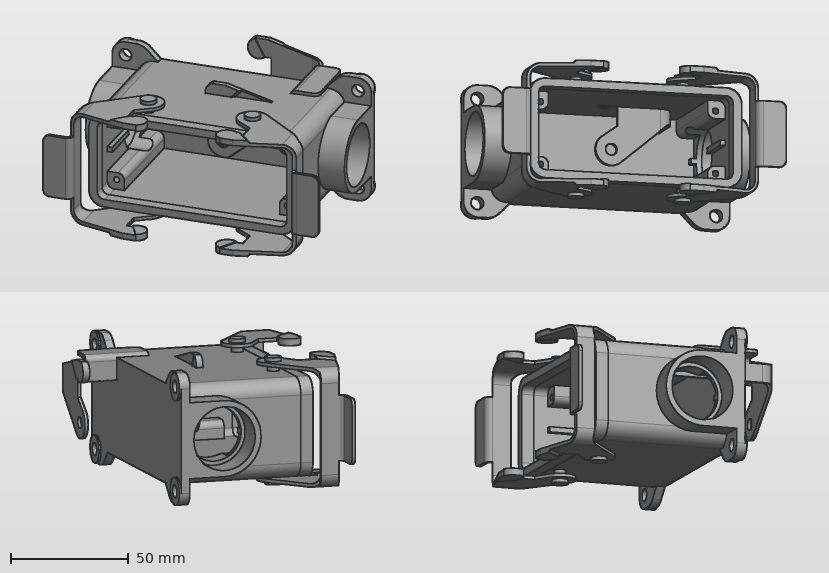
import cadquery as cq
import math


shell_width = 93.7
shell_height = 43.0
shell_length = 63.2
side_wall = 3.9
flat_wall = 3.5
rear_wall = 3.9
shell_corner_radius = 6.9
cavity_corner_radius = 3.1
rim_length = 5.5

boss_span = 117.6
boss_radius = 16.4
bore_diameter = 27.5
entry_diameter = 24.0
entry_setback = 19.4
bore_floor_depth = 13.4

lug_tip_height = 28.5
lug_thickness = 3.9
lug_corner_radius = 6.0
lug_shoulder_x = 48.4
lug_shoulder_radius = 8.1
lug_hole_diameter = 5.5
foot_height = 0.9

post_size = 7.8
post_corner_radius = 3.1
post_front_y = -51.3
post_hole_diameter = 2.5
post_hole_depth = 10.0
post_hole_inset_x = 4.3
post_hole_inset_z = 4.5
rib_size = 2.3

pivot_x = 23.6
pivot_y = -53.2
pin_diameter = 5.0
pin_head_diameter = 7.0
pin_head_height = 1.6

sheet = 1.5
lever_half_height = 25.8
lever_bend_radius = 6.0
lever_web_x = 27.5
web_top_y = -12.3
web_bottom_y = -20.3
pivot_eye_radius = 6.9
outer_edge_angle = math.radians(39.5)
inner_edge_angle = math.radians(35.0)
throat_x = 2.8
throat_y = -18.8
hook_x = -3.0
hook_y = -22.5
hook_radius = 4.8
hook_bottom_y = -27.0
hook_flat_end_x = 1.4
hook_outer_rise = 1.1
hook_inner_rise = 0.4
ramp_length = 1.1
ramp_foot_x = 8.3
ramp_foot_y = -24.9

tab_reach = 38.9
tab_width = 28.3
tab_bend_radius = 1.3
tab_corner_radius = 3.0
tab_top_y = -22.1

spare_y = -0.3
spare_z = -0.5

cavity_width = shell_width - 2 * side_wall
cavity_height = shell_height - 2 * flat_wall
body_length = shell_length - rim_length
half_span = boss_span / 2
lug_hole_x = half_span - lug_corner_radius
lug_hole_z = lug_tip_height - lug_corner_radius
lever_inner_half_height = lever_half_height - sheet

hook_chord_x = hook_x - math.sqrt(hook_radius**2 - (hook_y - hook_bottom_y) ** 2)
hook_neck_x = hook_x + math.sqrt(hook_radius**2 - (throat_y - hook_y) ** 2)
hook_tip = (hook_x - hook_radius, hook_y)


def shell_block(width, height, corner_radius, start_y, length):
    """Block of rounded rectangular section running from start_y toward -Y."""
    return (
        cq.Workplane("XZ", origin=(0, start_y, 0))
        .rect(width, height)
        .extrude(length)
        .edges("|Y")
        .fillet(corner_radius)
    )


def box_between(x_range, y_range, z_range):
    """Box given by its limits along each axis."""
    sizes = [high - low for low, high in (x_range, y_range, z_range)]
    return cq.Workplane("XY", origin=(x_range[0], y_range[0], z_range[0])).box(*sizes, centered=False)


def mirrored_in_four(solid):
    """A solid joined with its mirror images in X and Z."""
    pair = solid.union(solid.mirror("YZ"))
    return pair.union(pair.mirror("XY"))


def cable_bosses():
    """Round-nosed boss that reaches through both sides and back to the rear face."""
    nose = (
        cq.Workplane("YZ", origin=(-half_span, -entry_setback, 0))
        .circle(boss_radius)
        .extrude(boss_span)
    )
    block = box_between((-half_span, half_span), (-entry_setback, 0), (-boss_radius, boss_radius))
    return nose.union(block)


def cable_bores():
    """Through entry hole with a wider bore from each end."""
    section = cq.Workplane("YZ", origin=(-half_span, -entry_setback, 0))
    entry = section.circle(entry_diameter / 2).extrude(boss_span)
    bore = section.circle(bore_diameter / 2).extrude(bore_floor_depth)
    return entry.union(bore).union(bore.mirror("YZ"))


def mounting_lug():
    """Upper +X lug with its raised round foot and screw hole."""
    shoulder_drop = lug_shoulder_radius * (1 - math.sqrt(0.5))
    shoulder_end_x = lug_shoulder_x - lug_shoulder_radius * math.sqrt(0.5)
    shoulder_end_z = lug_tip_height - shoulder_drop
    slope_run = shoulder_end_z - cavity_height / 2
    lug = (
        cq.Workplane("XZ")
        .moveTo(half_span, 0)
        .lineTo(half_span, lug_hole_z)
        .radiusArc((lug_hole_x, lug_tip_height), -lug_corner_radius)
        .lineTo(lug_shoulder_x, lug_tip_height)
        .radiusArc((shoulder_end_x, shoulder_end_z), -lug_shoulder_radius)
        .lineTo(shoulder_end_x - slope_run, cavity_height / 2)
        .lineTo(shoulder_end_x - slope_run, 0)
        .close()
        .extrude(lug_thickness)
    )
    foot = (
        cq.Workplane("XZ", origin=(lug_hole_x, foot_height, lug_hole_z))
        .circle(lug_corner_radius)
        .extrude(lug_thickness + foot_height)
    )
    hole = (
        cq.Workplane("XZ", origin=(lug_hole_x, foot_height, lug_hole_z))
        .circle(lug_hole_diameter / 2)
        .extrude(lug_thickness + foot_height)
    )
    return lug.union(foot).cut(hole)


def screw_post():
    """Upper +X post in the cavity corner with a blind screw hole in its front end."""
    wall_x = cavity_width / 2
    wall_z = cavity_height / 2
    post = box_between(
        (wall_x - post_size, wall_x),
        (post_front_y, -rear_wall / 2),
        (wall_z - post_size, wall_z),
    )
    post = post.edges("|Y and <X and <Z").fillet(post_corner_radius)
    hole = (
        cq.Workplane("XZ", origin=(wall_x - post_hole_inset_x, post_front_y, wall_z - post_hole_inset_z))
        .circle(post_hole_diameter / 2)
        .extrude(-post_hole_depth)
    )
    return post.cut(hole)


def key_rib():
    """Square rib along the middle of the +X cavity wall."""
    return box_between(
        (cavity_width / 2 - rib_size, shell_width / 2 - side_wall / 2),
        (post_front_y, -rear_wall / 2),
        (-rib_size / 2, rib_size / 2),
    )


def pivot_pin():
    """Upper +X pivot pin whose head holds the lever."""
    root_z = shell_height / 2 - flat_wall / 2
    shank = (
        cq.Workplane("XY", origin=(pivot_x, pivot_y, root_z))
        .circle(pin_diameter / 2)
        .extrude(lever_half_height - root_z)
    )
    head = (
        cq.Workplane("XY", origin=(pivot_x, pivot_y, lever_half_height))
        .circle(pin_head_diameter / 2)
        .extrude(pin_head_height)
    )
    return shank.union(head)


def make_housing():
    shell = shell_block(shell_width, shell_height, shell_corner_radius, 0, body_length)
    cavity = shell_block(
        cavity_width, cavity_height, cavity_corner_radius, -rear_wall, body_length - rear_wall
    )
    rib = key_rib()
    return (
        shell.union(cable_bosses())
        .union(mirrored_in_four(mounting_lug()))
        .cut(cavity)
        .union(mirrored_in_four(screw_post()))
        .union(rib)
        .union(rib.mirror("YZ"))
        .cut(cable_bores())
        .union(mirrored_in_four(pivot_pin()))
    )


def make_rim():
    """Frame that continues the shell walls at the open front."""
    frame = shell_block(shell_width, shell_height, shell_corner_radius, -body_length, rim_length)
    opening = shell_block(cavity_width, cavity_height, cavity_corner_radius, -body_length, rim_length)
    return frame.cut(opening)


def lever_channel():
    """U-shaped sheet: two arms joined by a web on the +X side."""
    x_start = -2 * pivot_eye_radius
    y_range = (hook_bottom_y, pivot_eye_radius)
    outside = box_between((x_start, lever_web_x), y_range, (-lever_half_height, lever_half_height))
    inside = box_between(
        (x_start, lever_web_x - sheet), y_range, (-lever_inner_half_height, lever_inner_half_height)
    )
    outside = outside.edges("|Y and >X").fillet(lever_bend_radius)
    inside = inside.edges("|Y and >X").fillet(lever_bend_radius - sheet)
    return outside.cut(inside)


def lever_outline():
    """Side outline of the lever: pivot eye, web edge and hook."""
    outer_tangent_x = pivot_eye_radius * math.sin(outer_edge_angle)
    outer_tangent_y = pivot_eye_radius * math.cos(outer_edge_angle)
    inner_tangent_x = -pivot_eye_radius * math.sin(inner_edge_angle)
    inner_tangent_y = -pivot_eye_radius * math.cos(inner_edge_angle)
    web_corner_x = outer_tangent_x + (outer_tangent_y - web_top_y) / math.tan(outer_edge_angle)
    throat_corner_y = inner_tangent_y - (throat_x - inner_tangent_x) * math.tan(inner_edge_angle)
    return (
        cq.Workplane("XY", origin=(0, 0, -2 * lever_half_height))
        .moveTo(outer_tangent_x, outer_tangent_y)
        .lineTo(web_corner_x, web_top_y)
        .lineTo(lever_web_x, web_top_y)
        .lineTo(lever_web_x, web_bottom_y)
        .lineTo(hook_flat_end_x, hook_bottom_y)
        .lineTo(hook_chord_x, hook_bottom_y)
        .threePointArc(hook_tip, (hook_neck_x, throat_y))
        .lineTo(throat_x, throat_y)
        .lineTo(throat_x, throat_corner_y)
        .lineTo(inner_tangent_x, inner_tangent_y)
        .threePointArc((-pivot_eye_radius, 0), (outer_tangent_x, outer_tangent_y))
        .close()
        .extrude(4 * lever_half_height)
    )


def hook_outer_pad(outline):
    """Thickening on the outside of the upper hook, with a ramp up from the arm."""
    ramp_direction = cq.Vector(throat_x - ramp_foot_x, throat_y - ramp_foot_y, 0)
    across = cq.Vector(-ramp_direction.y, ramp_direction.x, 0)
    plane = cq.Plane(
        origin=(ramp_foot_x, ramp_foot_y, lever_half_height),
        xDir=across,
        normal=across.cross(cq.Vector(0, 0, 1)),
    )
    pad_length = 4 * hook_radius
    section = [(0, 0), (ramp_length, hook_outer_rise), (pad_length, hook_outer_rise), (pad_length, 0)]
    pad = cq.Workplane(plane).polyline(section).close().extrude(pad_length, both=True)
    hook_zone = box_between(
        (hook_tip[0], ramp_foot_x), (hook_bottom_y, throat_y + hook_radius), (0, 2 * lever_half_height)
    )
    return pad.intersect(outline).intersect(hook_zone)


def hook_inner_pad():
    """Thickening on the inside of the upper hook, across its round end."""
    return (
        cq.Workplane("XY", origin=(0, 0, lever_inner_half_height - hook_inner_rise))
        .moveTo(hook_chord_x, hook_bottom_y)
        .threePointArc(hook_tip, (hook_neck_x, throat_y))
        .close()
        .extrude(hook_inner_rise + sheet)
    )


def finger_tab():
    """Strip bent outward from the lower edge of the web."""
    bend_start_y = tab_top_y + tab_bend_radius
    overlap_y = web_bottom_y + sheet
    web_inner_x = lever_web_x - sheet
    bend_end_x = lever_web_x + tab_bend_radius
    strip = (
        cq.Workplane("XY", origin=(0, 0, -tab_width / 2))
        .moveTo(web_inner_x, overlap_y)
        .lineTo(web_inner_x, bend_start_y)
        .radiusArc((bend_end_x, tab_top_y - sheet), -(tab_bend_radius + sheet))
        .lineTo(tab_reach, tab_top_y - sheet)
        .lineTo(tab_reach, tab_top_y)
        .lineTo(bend_end_x, tab_top_y)
        .radiusArc((lever_web_x, bend_start_y), tab_bend_radius)
        .lineTo(lever_web_x, overlap_y)
        .close()
        .extrude(tab_width)
    )
    return strip.edges("|Y and >X").fillet(tab_corner_radius)


def make_lever():
    """Lever with its pivot axis on Z and its web toward +X."""
    outline = lever_outline()
    pads = hook_outer_pad(outline).union(hook_inner_pad())
    pivot_hole = (
        cq.Workplane("XY", origin=(0, 0, -lever_half_height))
        .circle(pin_diameter / 2)
        .extrude(2 * lever_half_height)
    )
    return (
        lever_channel()
        .intersect(outline)
        .union(pads)
        .union(pads.mirror("XY"))
        .union(finger_tab())
        .cut(pivot_hole)
    )


lever = make_lever()
spare_lever = lever.rotate((0, 0, 0), (1, 0, 0), -90).translate((0, spare_y, spare_z))

levers = [spare_lever]
for half_turn in (0, 180):
    levers.append(lever.translate((pivot_x, pivot_y, 0)).rotate((0, 0, 0), (0, 1, 0), half_turn))

housing = make_housing().cut(spare_lever)
rim = make_rim()

bodies = [housing, rim, *levers]
result = cq.Compound.makeCompound([body.solids().val() for body in bodies])